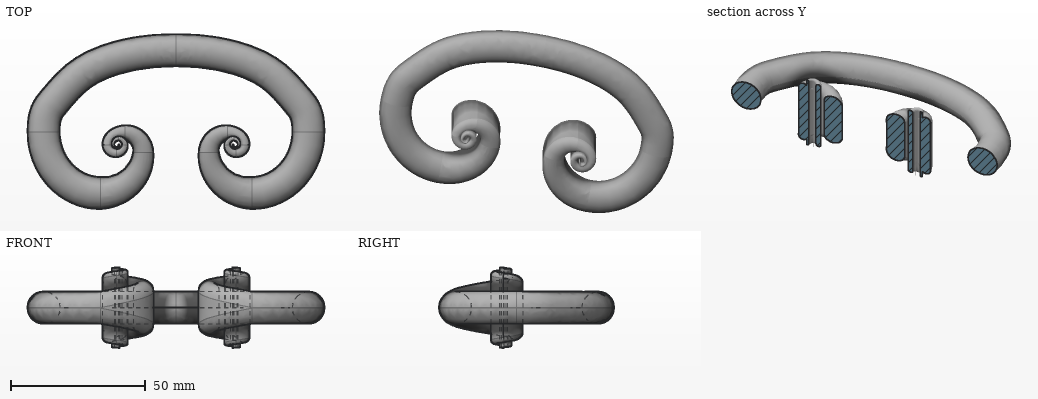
import cadquery as cq
import math

BAR_RADIUS = 6.0
HALF_WIDTH = 55.13
SIDE_X = -(HALF_WIDTH - BAR_RADIUS)
BOW_TOP_Y = 26.45
SIDE_Y = -3.8
BOW_SHOULDERS = [(-13.0, 25.55), (-25.25, 22.6), (-36.55, 16.6), (-45.2, 7.6)]

SCROLL_TURNS = [
    (-28.1, -26.54),
    (-12.15, -11.35),
    (-19.1, -4.15),
    (-25.3, -8.7),
    (-22.1, -11.7),
    (-18.95, -8.6),
    (-21.4, -6.3),
    (-23.4, -8.5),
    (-22.0, -9.7),
    (-21.1, -8.4),
]
TIP_RADIUS = 0.15
OVERALL_HEIGHT = 30.0
CLIMB_EASING = 1.16
TIP_CLIMB = OVERALL_HEIGHT / 2 - TIP_RADIUS

SECTIONS_PER_QUARTER = 5
LENGTH_STEPS = 40
STRIP_ANGLE = math.radians(1.0)


def quarter_point(index, fraction):
    """Point and tangent of the elliptic quarter that starts at turning point `index`."""
    start_x, start_y = SCROLL_TURNS[index]
    end_x, end_y = SCROLL_TURNS[index + 1]
    run_x = end_x - start_x
    run_y = end_y - start_y
    sine = math.sin(fraction * math.pi / 2)
    cosine = math.cos(fraction * math.pi / 2)
    starts_along_x = index % 2 == 0
    if starts_along_x:
        point = (start_x + run_x * sine, start_y + run_y * (1 - cosine))
        tangent = (run_x * cosine, run_y * sine)
    else:
        point = (start_x + run_x * (1 - cosine), start_y + run_y * sine)
        tangent = (run_x * sine, run_y * cosine)
    return point, tangent


def quarter_length(index, fraction=1.0):
    """Length of the quarter's centre line from its start up to `fraction`."""
    points = [quarter_point(index, fraction * i / LENGTH_STEPS)[0] for i in range(LENGTH_STEPS + 1)]
    return sum(math.dist(a, b) for a, b in zip(points, points[1:]))


def horn_section(point, tangent, radius, climb):
    """Upright section: two round ends at +/-climb joined by straight sides."""
    plane = cq.Plane(
        origin=(point[0], point[1], 0),
        xDir=(-tangent[1], tangent[0], 0),
        normal=(tangent[0], tangent[1], 0),
    )
    side = radius * math.cos(STRIP_ANGLE)
    corner = climb + radius * math.sin(STRIP_ANGLE)
    crest = climb + radius
    section = cq.Workplane(plane).moveTo(side, corner).threePointArc((0, crest), (-side, corner))
    if climb > 0:
        return section.lineTo(-side, -corner).threePointArc((0, -crest), (side, -corner)).close()
    section = section.threePointArc((-radius, 0), (-side, -corner))
    section = section.threePointArc((0, -crest), (side, -corner))
    return section.threePointArc((radius, 0), (side, corner)).wire()


def scroll_quarter(index, length_before, scroll_length):
    """Solid of one quarter turn, lofted through sections along the centre line."""
    wires = []
    for i in range(SECTIONS_PER_QUARTER + 1):
        fraction = i / SECTIONS_PER_QUARTER
        point, tangent = quarter_point(index, fraction)
        travelled = (length_before + quarter_length(index, fraction)) / scroll_length
        radius = BAR_RADIUS + (TIP_RADIUS - BAR_RADIUS) * travelled
        climb = TIP_CLIMB * (1 - (1 - travelled) ** CLIMB_EASING)
        wires.append(horn_section(point, tangent, radius, climb).val())
    return cq.Solid.makeLoft(wires)


def scroll():
    """All quarter turns joined, from the end of the bar to the tips of the horns."""
    lengths = [quarter_length(i) for i in range(len(SCROLL_TURNS) - 1)]
    quarters = [scroll_quarter(i, sum(lengths[:i]), sum(lengths)) for i in range(len(lengths))]
    body = cq.Workplane(quarters[0])
    for quarter in quarters[1:]:
        body = body.union(cq.Workplane(quarter))
    return body


def half_bow():
    """Left half of the main bar, from the top of the bow to the root of the scroll."""
    side = (SIDE_X, SIDE_Y)
    scroll_x, scroll_y = SCROLL_TURNS[0]
    radius_x = scroll_x - SIDE_X
    radius_y = SIDE_Y - scroll_y
    path = (
        cq.Workplane("XY")
        .spline([(0, BOW_TOP_Y), *BOW_SHOULDERS, side], tangents=[(-1, 0), (0, -1)])
        .ellipseArc(radius_x, radius_y, 180, 270, startAtCurrent=True)
    )
    return horn_section((0, BOW_TOP_Y), (-1, 0), BAR_RADIUS, climb=0).sweep(path)


half = half_bow().union(scroll())
result = half.union(half.mirror("YZ"))